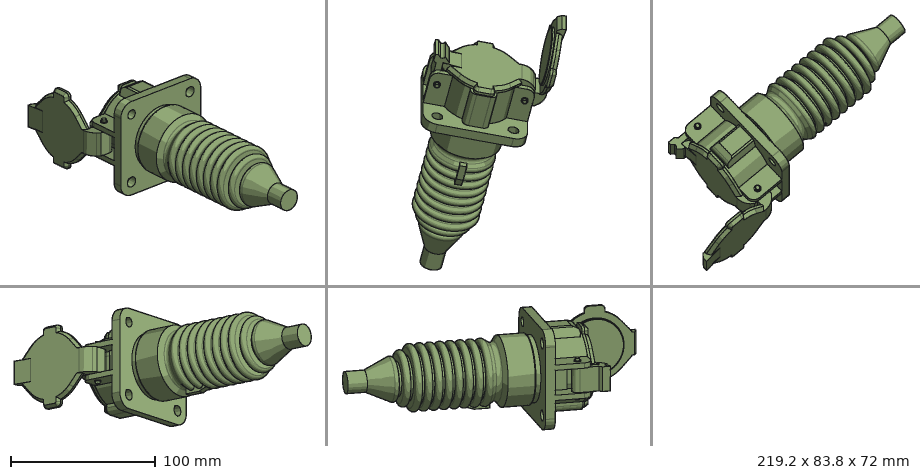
import cadquery as cq
import math


FLANGE_THICKNESS = 7.0
FLANGE_WIDTH = 74.0
FLANGE_HEIGHT = 72.0
FLANGE_CORNER_RADIUS = 10.0
BOLT_SPACING_Y = 54.0
BOLT_SPACING_Z = 52.0
BOLT_HOLE_DIAMETER = 7.5
SMALL_BOLT_HOLE_DIAMETER = 6.8

BARREL_RADIUS = 25.4
FRONT_X = -33.7
NECK_RADIUS = 23.7
NECK_LENGTH = 3.6

KEY_FRONT_X = -32.0
KEY_TOP_Z = 31.2
KEY_FOOT_HALF_WIDTH = 9.8
KEY_FOOT_Z = 23.5
KEY_SHOULDER_HALF_WIDTH = 7.9
KEY_TOP_HALF_WIDTH = 6.4
KEY_SHOULDER_DROP = 0.7
KEY_SLOPE_LENGTH = 5.8
KEY_SLOPE_DROP = 2.6
KEY_NOSE_RADIUS = 2.7
RIB_HALF_WIDTH = 9.4
RIB_BOTTOM_Z = -30.4
RIB_CORNER_RADIUS = 4.4

EAR_GAP = 17.9
EAR_THICKNESS = 3.85
EAR_CORNER_RADIUS = 6.0
PIN_X = -24.2
PIN_Y = 31.1
PIN_RADIUS = 1.6
PIN_COLLAR_RADIUS = 2.4
PIN_COLLAR_HEIGHT = 0.5
PIN_HEAD_HEIGHT = 2.2
HINGE_FLAT_Y = 24.8
HINGE_FLAT_LENGTH = 15.4
HINGE_WALL_Y = 25.6

COVER_RADIUS = 25.5
COVER_EDGE_THICKNESS = 1.9
COVER_BEVEL_HEIGHT = 2.9
COVER_BEVEL_INSET = 1.9
COVER_END_HALF_HEIGHT = 8.85
COVER_ARC_HALF_ANGLE = 47.0
LUG_HALF_WIDTH = 7.4
LUG_HALF_HEIGHT = 29.3
LUG_CORNER_RADIUS = 3.0
PLUG_RADIUS = 20.6
PLUG_HEIGHT = 1.8
PLUG_CHAMFER = 0.6
COVER_OUTER_X = FRONT_X - COVER_EDGE_THICKNESS - COVER_BEVEL_HEIGHT

ARM_INNER_REACH = 5.2
ARM_OUTER_REACH = 5.8
ARM_CURVE_RADIUS = 12.3
ARM_CURVE_ANGLE = 47.0
ARM_BEVEL_DEPTH = 2.3
ARM_ROOT_OVERLAP = 3.0

TIP_Y = 30.3
TIP_HALF_HEIGHT = 8.3
TIP_PAD_LENGTH = 13.5
TIP_PAD_RISE = 1.44
TIP_FACE_HEIGHT = 3.1
TIP_BACK_SETBACK = 2.0

LATCH_ARM_THICKNESS = 4.7
LATCH_KNUCKLE_RADIUS = 4.0
LATCH_TOP_Y = FLANGE_WIDTH / 2
LATCH_LIP_X = -46.2
LATCH_HEAD_TOP_LENGTH = 5.7
LATCH_SHOULDER_LENGTH = 1.8
LATCH_LIP_HEIGHT = 2.1
LATCH_GROOVE_DEPTH = 2.2
LATCH_GROOVE_TOP_Y = 33.0
LATCH_GROOVE_MIDDLE_Y = 31.3
LATCH_CHIN_Y = 29.9
LATCH_CHIN_SETBACK = 0.7
LATCH_NOSE_Y = 26.2
LATCH_NOSE_WIDTH = 1.3

COLLAR_RADIUS = 25.2
COLLAR_CHAMFER = 0.8
COLLAR_END_X = 23.7
WAIST_RADIUS = 20.4
WAIST_X = 28.9
WAIST_HALF_LENGTH = 2.2
WAIST_SAG = 0.9
RING_COUNT = 8
RING_RADIUS = 23.8
RING_THICKNESS = 5.3
RING_PITCH = 7.255
FIRST_RING_X = 35.7
GROOVE_DEPTH = 4.6
TAPER_STEP = 3.85
SPOUT_START_X = 98.4
CABLE_RADIUS = 7.8
CABLE_START_X = 119.8
BOOT_END_X = 133.6
TAB_START_X = 30.9
TAB_FLAT_END_X = 42.4
TAB_END_X = 48.5
TAB_BOTTOM_Z = -25.5
TAB_TOP_Z = -15.0
TAB_SLOPE_RISE = 2.2
TAB_THICKNESS = 5.0


def x_cylinder(radius, start_x, end_x):
    return cq.Workplane("YZ", origin=(start_x, 0, 0)).circle(radius).extrude(end_x - start_x)


def z_cylinder(radius, x, y, half_height):
    return cq.Workplane("XY").center(x, y).circle(radius).extrude(half_height, both=True)


def make_flange():
    """A rounded plate with four bolt holes, of which the one at -Y, +Z is smaller."""
    flange = (
        cq.Workplane("YZ")
        .rect(FLANGE_WIDTH, FLANGE_HEIGHT)
        .extrude(-FLANGE_THICKNESS)
        .edges("|X")
        .fillet(FLANGE_CORNER_RADIUS)
    )
    for side_y in (-1, 1):
        for side_z in (-1, 1):
            is_small = side_y < 0 < side_z
            diameter = SMALL_BOLT_HOLE_DIAMETER if is_small else BOLT_HOLE_DIAMETER
            hole = x_cylinder(diameter / 2, -FLANGE_THICKNESS, 0)
            flange = flange.cut(hole.translate((0, side_y * BOLT_SPACING_Y / 2, side_z * BOLT_SPACING_Z / 2)))
    return flange


def make_key():
    shoulder_z = KEY_TOP_Z - KEY_SHOULDER_DROP
    nose_z = KEY_TOP_Z - KEY_SLOPE_DROP
    section = (
        cq.Workplane("YZ", origin=(KEY_FRONT_X, 0, 0))
        .moveTo(-KEY_FOOT_HALF_WIDTH, 0)
        .lineTo(-KEY_FOOT_HALF_WIDTH, KEY_FOOT_Z)
        .lineTo(-KEY_SHOULDER_HALF_WIDTH, shoulder_z)
        .lineTo(-KEY_TOP_HALF_WIDTH, KEY_TOP_Z)
        .lineTo(KEY_TOP_HALF_WIDTH, KEY_TOP_Z)
        .lineTo(KEY_SHOULDER_HALF_WIDTH, shoulder_z)
        .lineTo(KEY_FOOT_HALF_WIDTH, KEY_FOOT_Z)
        .lineTo(KEY_FOOT_HALF_WIDTH, 0)
        .close()
        .extrude(-FLANGE_THICKNESS - KEY_FRONT_X)
    )
    side_profile = (
        cq.Workplane("XZ")
        .moveTo(KEY_FRONT_X, 0)
        .lineTo(KEY_FRONT_X, nose_z)
        .lineTo(KEY_FRONT_X + KEY_SLOPE_LENGTH, KEY_TOP_Z)
        .lineTo(-FLANGE_THICKNESS, KEY_TOP_Z)
        .lineTo(-FLANGE_THICKNESS, 0)
        .close()
        .extrude(KEY_FOOT_HALF_WIDTH, both=True)
        .edges(cq.selectors.NearestToPointSelector((KEY_FRONT_X, 0, nose_z)))
        .fillet(KEY_NOSE_RADIUS)
    )
    return section.intersect(side_profile)


def make_rib():
    return (
        cq.Workplane("YZ", origin=(FRONT_X, 0, 0))
        .center(0, RIB_BOTTOM_Z / 2)
        .rect(2 * RIB_HALF_WIDTH, -RIB_BOTTOM_Z)
        .extrude(-FLANGE_THICKNESS - FRONT_X)
        .edges("|X and <Z")
        .fillet(RIB_CORNER_RADIUS)
    )


def make_ears():
    length = -FLANGE_THICKNESS - FRONT_X
    height = EAR_GAP + 2 * EAR_THICKNESS
    plates = (
        cq.Workplane("XY")
        .box(length, FLANGE_WIDTH, height, centered=(False, True, True))
        .translate((FRONT_X, 0, 0))
        .edges("|Z and <X")
        .fillet(EAR_CORNER_RADIUS)
    )
    gap = cq.Workplane("XY").box(length, FLANGE_WIDTH, EAR_GAP, centered=(False, True, True))
    return plates.cut(gap.translate((FRONT_X, 0, 0)))


def make_pin(y):
    ear_top = EAR_GAP / 2 + EAR_THICKNESS
    shank = z_cylinder(PIN_RADIUS, PIN_X, y, ear_top + PIN_HEAD_HEIGHT)
    collars = z_cylinder(PIN_COLLAR_RADIUS, PIN_X, y, ear_top + PIN_COLLAR_HEIGHT)
    gap = z_cylinder(PIN_COLLAR_RADIUS, PIN_X, y, EAR_GAP / 2)
    return shank.union(collars.cut(gap))


def make_barrel():
    """The barrel with a clearance flat behind each hinge and a flat wall from there to the flange."""
    barrel = x_cylinder(BARREL_RADIUS, FRONT_X, -FLANGE_THICKNESS)
    wall_start_x = FRONT_X + HINGE_FLAT_LENGTH
    wall_length = -FLANGE_THICKNESS - wall_start_x
    for side in (-1, 1):
        clearance = (
            cq.Workplane("XY")
            .box(HINGE_FLAT_LENGTH, BARREL_RADIUS, EAR_GAP, centered=(False, True, True))
            .translate((FRONT_X, side * (HINGE_FLAT_Y + BARREL_RADIUS / 2), 0))
        )
        barrel = barrel.cut(clearance)
    walls = (
        cq.Workplane("XY")
        .box(wall_length, 2 * HINGE_WALL_Y, EAR_GAP, centered=(False, True, True))
        .translate((wall_start_x, 0, 0))
    )
    return barrel.union(walls)


def make_housing():
    housing = (
        make_flange()
        .union(make_barrel())
        .union(make_ears())
        .union(make_key())
        .union(make_rib())
        .union(x_cylinder(NECK_RADIUS, 0, NECK_LENGTH))
        .cut(x_cylinder(PLUG_RADIUS, FRONT_X, FRONT_X + PLUG_HEIGHT))
    )
    for side in (-1, 1):
        housing = housing.union(make_pin(side * PIN_Y))
    return housing


def outward_plane(distance):
    """A plane facing -X, the given distance in front of the barrel. Its axes are -Y and Z."""
    return cq.Workplane(cq.Plane((FRONT_X - distance, 0, 0), xDir=(0, -1, 0), normal=(-1, 0, 0)))


def disc_outline(workplane):
    """Arcs above and below, running on along their tangents to a flat at either end."""
    angle = math.radians(COVER_ARC_HALF_ANGLE)
    arc_y = COVER_RADIUS * math.sin(angle)
    arc_z = COVER_RADIUS * math.cos(angle)
    end_y = (COVER_RADIUS - COVER_END_HALF_HEIGHT * math.cos(angle)) / math.sin(angle)
    return (
        workplane.moveTo(-end_y, -COVER_END_HALF_HEIGHT)
        .lineTo(-arc_y, -arc_z)
        .threePointArc((0, -COVER_RADIUS), (arc_y, -arc_z))
        .lineTo(end_y, -COVER_END_HALF_HEIGHT)
        .lineTo(end_y, COVER_END_HALF_HEIGHT)
        .lineTo(arc_y, arc_z)
        .threePointArc((0, COVER_RADIUS), (-arc_y, arc_z))
        .lineTo(-end_y, COVER_END_HALF_HEIGHT)
        .close()
    )


def lug_outline(workplane):
    lugs = cq.Sketch().rect(2 * LUG_HALF_WIDTH, 2 * LUG_HALF_HEIGHT).vertices().fillet(LUG_CORNER_RADIUS)
    return workplane.placeSketch(lugs)


def bevelled_plate(outline):
    """A straight edge band with a bevelled band in front of it, both from one outline."""
    bevel_angle = math.degrees(math.atan2(COVER_BEVEL_INSET, COVER_BEVEL_HEIGHT))
    band = outline(outward_plane(0)).extrude(COVER_EDGE_THICKNESS)
    bevel = outline(outward_plane(COVER_EDGE_THICKNESS)).extrude(COVER_BEVEL_HEIGHT, taper=bevel_angle)
    return band.union(bevel)


def make_cover_plate():
    return bevelled_plate(disc_outline).union(bevelled_plate(lug_outline))


def make_cover_arm():
    curve_start_y = -PIN_Y + ARM_INNER_REACH
    angle = math.radians(ARM_CURVE_ANGLE)

    def curve_point(turn):
        return (
            COVER_OUTER_X + ARM_CURVE_RADIUS * (1 - math.cos(turn)),
            curve_start_y - ARM_CURVE_RADIUS * math.sin(turn),
        )

    end_x, _ = curve_point(angle)
    outer_y = -PIN_Y - ARM_OUTER_REACH
    return (
        cq.Workplane("XY")
        .moveTo(FRONT_X, curve_start_y + ARM_ROOT_OVERLAP)
        .lineTo(COVER_OUTER_X, curve_start_y + ARM_ROOT_OVERLAP)
        .lineTo(COVER_OUTER_X, curve_start_y)
        .threePointArc(curve_point(angle / 2), curve_point(angle))
        .lineTo(end_x + ARM_BEVEL_DEPTH, outer_y)
        .lineTo(PIN_X, outer_y)
        .threePointArc((PIN_X + ARM_INNER_REACH, -PIN_Y), (PIN_X, curve_start_y))
        .lineTo(FRONT_X, curve_start_y)
        .close()
        .extrude(EAR_GAP / 2, both=True)
    )


def make_cover_tip():
    pad_x = COVER_OUTER_X - TIP_PAD_RISE
    return (
        cq.Workplane("XY")
        .moveTo(pad_x, TIP_Y)
        .lineTo(pad_x + TIP_FACE_HEIGHT, TIP_Y)
        .lineTo(FRONT_X, TIP_Y - TIP_BACK_SETBACK)
        .lineTo(FRONT_X, TIP_Y - TIP_PAD_LENGTH)
        .lineTo(COVER_OUTER_X, TIP_Y - TIP_PAD_LENGTH)
        .close()
        .extrude(TIP_HALF_HEIGHT, both=True)
    )


def make_cover_leaf():
    plug = x_cylinder(PLUG_RADIUS, FRONT_X, FRONT_X + PLUG_HEIGHT).faces(">X").chamfer(PLUG_CHAMFER)
    return make_cover_plate().union(make_cover_arm()).union(make_cover_tip()).union(plug)


def make_cover():
    """Two equal leaves on one hinge knuckle: one closes the barrel, one stands open at 90 degrees."""
    leaf = make_cover_leaf()
    open_leaf = leaf.rotate((PIN_X, -PIN_Y, 0), (PIN_X, -PIN_Y, 1), 90)
    return leaf.union(open_leaf).cut(z_cylinder(PIN_RADIUS, PIN_X, -PIN_Y, EAR_GAP))


def make_latch():
    arm_top = TIP_Y + LATCH_ARM_THICKNESS
    hook_x = COVER_OUTER_X - TIP_PAD_RISE
    groove_x = LATCH_LIP_X + LATCH_GROOVE_DEPTH
    head_end_x = LATCH_LIP_X + LATCH_HEAD_TOP_LENGTH
    profile = (
        cq.Workplane("XY")
        .moveTo(PIN_X, TIP_Y)
        .lineTo(hook_x, TIP_Y)
        .lineTo(hook_x, LATCH_NOSE_Y)
        .lineTo(hook_x - LATCH_NOSE_WIDTH, LATCH_NOSE_Y)
        .lineTo(LATCH_LIP_X + LATCH_CHIN_SETBACK, LATCH_CHIN_Y)
        .threePointArc((groove_x, LATCH_GROOVE_MIDDLE_Y), (groove_x, LATCH_GROOVE_TOP_Y))
        .lineTo(LATCH_LIP_X, LATCH_TOP_Y - LATCH_LIP_HEIGHT)
        .lineTo(LATCH_LIP_X, LATCH_TOP_Y)
        .lineTo(head_end_x, LATCH_TOP_Y)
        .lineTo(head_end_x + LATCH_SHOULDER_LENGTH, arm_top)
        .lineTo(PIN_X, arm_top)
        .close()
        .extrude(EAR_GAP / 2, both=True)
    )
    knuckle = z_cylinder(LATCH_KNUCKLE_RADIUS, PIN_X, PIN_Y, EAR_GAP / 2)
    return profile.union(knuckle).cut(z_cylinder(PIN_RADIUS, PIN_X, PIN_Y, EAR_GAP))


def add_ring(outline, start_x, radius, groove_radius, next_groove_radius):
    """Adds a groove floor, a straight-sided ring with a half-round crown and the drop behind it."""
    crown = RING_THICKNESS / 2
    end_x = start_x + RING_THICKNESS
    return (
        outline.lineTo(start_x, groove_radius)
        .lineTo(start_x, radius - crown)
        .threePointArc((start_x + crown, radius), (end_x, radius - crown))
        .lineTo(end_x, next_groove_radius)
    )


def make_boot_body():
    crown = RING_THICKNESS / 2
    crown_diagonal = crown * math.sqrt(0.5)
    groove_radius = RING_RADIUS - GROOVE_DEPTH
    outline = (
        cq.Workplane("XY")
        .moveTo(NECK_LENGTH, 0)
        .lineTo(NECK_LENGTH, COLLAR_RADIUS - COLLAR_CHAMFER)
        .lineTo(NECK_LENGTH + COLLAR_CHAMFER, COLLAR_RADIUS)
        .lineTo(COLLAR_END_X, COLLAR_RADIUS)
        .lineTo(WAIST_X - WAIST_HALF_LENGTH, WAIST_RADIUS + WAIST_SAG)
        .threePointArc((WAIST_X, WAIST_RADIUS), (WAIST_X + WAIST_HALF_LENGTH, WAIST_RADIUS + WAIST_SAG))
        .lineTo(FIRST_RING_X - crown_diagonal, RING_RADIUS - crown + crown_diagonal)
        .threePointArc((FIRST_RING_X, RING_RADIUS), (FIRST_RING_X + crown, RING_RADIUS - crown))
        .lineTo(FIRST_RING_X + crown, groove_radius)
    )

    step_groove_radius = RING_RADIUS - 2 * TAPER_STEP
    last_groove_radius = step_groove_radius - TAPER_STEP
    first_start_x = FIRST_RING_X - crown
    for index in range(1, RING_COUNT):
        next_groove_radius = groove_radius if index < RING_COUNT - 1 else step_groove_radius
        start_x = first_start_x + index * RING_PITCH
        outline = add_ring(outline, start_x, RING_RADIUS, groove_radius, next_groove_radius)
    small_ring_x = first_start_x + RING_COUNT * RING_PITCH
    small_ring_radius = RING_RADIUS - TAPER_STEP
    outline = add_ring(outline, small_ring_x, small_ring_radius, step_groove_radius, last_groove_radius)

    rim_x = SPOUT_START_X + crown
    rim_radius = RING_RADIUS - 2 * TAPER_STEP - crown
    run = CABLE_START_X - rim_x
    drop = rim_radius - CABLE_RADIUS
    lean = math.atan2(drop, run) + math.asin(crown / math.hypot(run, drop))
    outline = (
        outline.lineTo(SPOUT_START_X, last_groove_radius)
        .lineTo(SPOUT_START_X, rim_radius)
        .threePointArc(
            (rim_x - crown_diagonal, rim_radius + crown_diagonal),
            (rim_x + crown * math.sin(lean), rim_radius + crown * math.cos(lean)),
        )
        .lineTo(CABLE_START_X, CABLE_RADIUS)
        .lineTo(BOOT_END_X, CABLE_RADIUS)
        .lineTo(BOOT_END_X, 0)
        .close()
    )
    return outline.revolve(360, (0, 0, 0), (1, 0, 0))


def make_boot_tab():
    return (
        cq.Workplane("XZ")
        .moveTo(TAB_START_X, TAB_TOP_Z)
        .lineTo(TAB_START_X, TAB_BOTTOM_Z)
        .lineTo(TAB_FLAT_END_X, TAB_BOTTOM_Z)
        .lineTo(TAB_END_X, TAB_BOTTOM_Z + TAB_SLOPE_RISE)
        .lineTo(TAB_END_X, TAB_TOP_Z)
        .close()
        .extrude(TAB_THICKNESS / 2, both=True)
    )


housing = make_housing()
cover = make_cover()
latch = make_latch()
boot = make_boot_body().union(make_boot_tab())

result = cq.Compound.makeCompound([housing.val(), cover.val(), latch.val(), boot.val()])